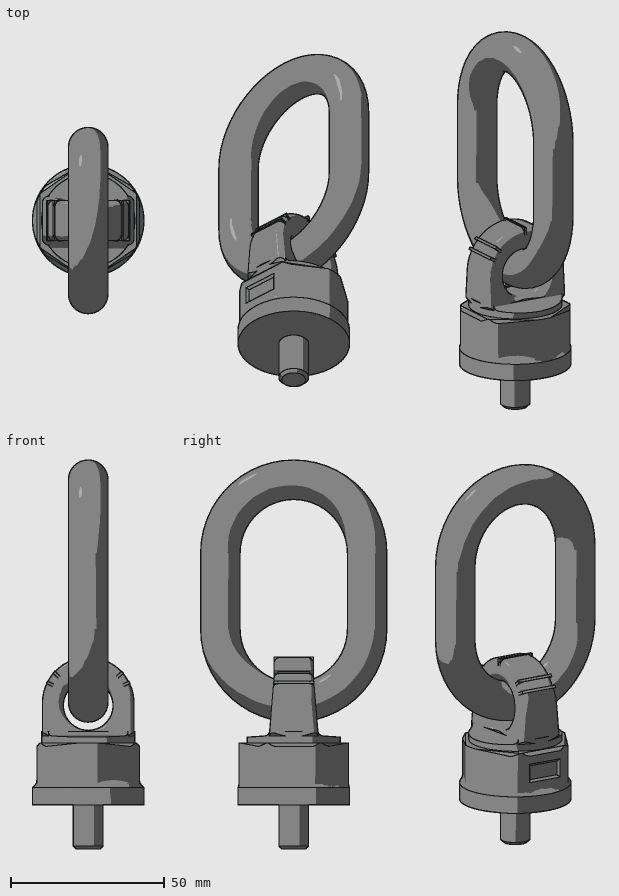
import cadquery as cq
import math


BAR_DIAMETER = 13.0
RING_WIDTH = 61.0
RING_STRAIGHT = 24.8
RING_TOP = 112.7

FLANGE_RADIUS = 36.5 / 2
FLANGE_HEIGHT = 5.6
HEX_FLAT_DISTANCE = 16.8
HEX_CORNER_RADIUS = 18.0
HEX_TOP = 20.2
HEX_TURN = math.radians(30)
HEX_EDGE_FILLET = 2.5
HEX_FOOT_FILLET = 2.3
SHOULDER_TAPER = 45
SHOULDER_OVERRUN = 0.6
BEVEL_DEPTH = 1.1
BEVEL_WIDTH = 1.0
STUD_DIAMETER = 9.8
STUD_LENGTH = 14.5
STUD_CHAMFER = 1.0
WINDOW_WIDTH = 12.2
WINDOW_HEIGHT = 6.2
WINDOW_CENTRE_HEIGHT = 13.2
WINDOW_DEPTH = 0.8
WINDOW_WALL_TAPER = 45

PLATE_RADIUS = 15.3
PLATE_TOP = 22.5
PLATE_SLOPE_DROP = 0.4
ARCH_RADIUS = 15.0
ARCH_CENTRE_HEIGHT = 33.2
ARCH_TOP = ARCH_CENTRE_HEIGHT + ARCH_RADIUS
ARCH_EDGE_FILLET = 2.2
EYE_TOP_THICKNESS = 13.0
EYE_FOOT_THICKNESS = 15.4
EYE_TAPER_TOP = 40.8
EYE_TAPER_BOTTOM = 26.6
EYE_BEND_RADIUS = 3.8
EYE_FOOT_FILLET = 1.5
BORE_RADIUS = 16.2 / 2
BORE_CENTRE_HEIGHT = 32.5
BORE_RIM_FILLET = 2.7
RIB_ANGLES = (-63, -48, 0, 48, 63)
RIB_WIDTH = 0.9
RIB_HEIGHT = 0.1

MARGIN = 12.7
SELECTION_GAP = 0.06


def make_ring():
    """Round bar swept round an oval path."""
    bar_radius = BAR_DIAMETER / 2
    bend_radius = RING_WIDTH / 2 - bar_radius
    upper_centre = RING_TOP - RING_WIDTH / 2
    lower_centre = upper_centre - RING_STRAIGHT
    path = (
        cq.Workplane("YZ")
        .moveTo(bend_radius, lower_centre)
        .lineTo(bend_radius, upper_centre)
        .threePointArc((0, upper_centre + bend_radius), (-bend_radius, upper_centre))
        .lineTo(-bend_radius, lower_centre)
        .threePointArc((0, lower_centre - bend_radius), (bend_radius, lower_centre))
        .close()
    )
    return (
        cq.Workplane("XY", origin=(0, bend_radius, lower_centre))
        .circle(bar_radius)
        .sweep(path)
    )


def half_space(point, x_direction, normal):
    """Large block lying on the positive side of a plane."""
    size = 4 * FLANGE_RADIUS
    plane = cq.Plane(origin=point, xDir=x_direction, normal=normal)
    return cq.Workplane(plane).rect(size, size).extrude(size)


def make_hex_bevels():
    """Cutters for the top edge: even along the X flats, running out along the other four."""
    half_corner_angle = HEX_TURN - math.acos(HEX_FLAT_DISTANCE / HEX_CORNER_RADIUS)
    cutters = []
    for side in (1, -1):
        cutters.append(
            half_space(
                (side * HEX_FLAT_DISTANCE, 0, HEX_TOP - BEVEL_DEPTH),
                (0, 1, 0),
                (side * BEVEL_DEPTH, 0, BEVEL_WIDTH),
            )
        )
    faded = cq.Vector(
        HEX_CORNER_RADIUS * math.sin(half_corner_angle),
        HEX_CORNER_RADIUS * math.cos(half_corner_angle),
        HEX_TOP,
    )
    full_angle = 2 * HEX_TURN - half_corner_angle
    full = cq.Vector(
        HEX_CORNER_RADIUS * math.sin(full_angle),
        HEX_CORNER_RADIUS * math.cos(full_angle),
        HEX_TOP - BEVEL_DEPTH,
    )
    outward = cq.Vector(math.sin(HEX_TURN), math.cos(HEX_TURN), 0)
    inner = full - outward * BEVEL_WIDTH + cq.Vector(0, 0, BEVEL_DEPTH)
    along = full - faded
    quadrant = half_space(faded, along, (inner - faded).cross(along))
    half = [quadrant, quadrant.mirror("YZ")]
    cutters += half
    for cutter in half:
        cutters.append(cutter.mirror("XZ"))
    return cutters


def make_hex_drive():
    """Hexagon with flats facing +X and -X, rounded corners and a bevelled top edge."""
    corner_diameter = 2 * HEX_FLAT_DISTANCE / math.cos(HEX_TURN)
    drive = (
        cq.Workplane("XY")
        .polygon(6, corner_diameter)
        .extrude(HEX_TOP)
        .rotate((0, 0, 0), (0, 0, 1), math.degrees(HEX_TURN))
        .intersect(cq.Workplane("XY").circle(HEX_CORNER_RADIUS).extrude(HEX_TOP))
        .edges("|Z")
        .fillet(HEX_EDGE_FILLET)
    )
    for cutter in make_hex_bevels():
        drive = drive.cut(cutter)
    return drive


def make_flange():
    """Flange disc with a conical shoulder running up inside the hex flats."""
    shoulder = FLANGE_RADIUS - HEX_FLAT_DISTANCE + SHOULDER_OVERRUN
    return (
        cq.Workplane("XY")
        .circle(FLANGE_RADIUS)
        .extrude(FLANGE_HEIGHT)
        .faces(">Z")
        .workplane()
        .circle(FLANGE_RADIUS)
        .extrude(shoulder, taper=SHOULDER_TAPER)
    )


def make_stud():
    """Plain shank below the flange with a chamfered tip."""
    return (
        cq.Workplane("XY")
        .circle(STUD_DIAMETER / 2)
        .extrude(-STUD_LENGTH)
        .faces("<Z")
        .chamfer(STUD_CHAMFER)
    )


def make_window():
    """Shallow name-plate recess in the -X flat, with sloping walls."""
    return (
        cq.Workplane("YZ", origin=(-HEX_FLAT_DISTANCE, 0, WINDOW_CENTRE_HEIGHT))
        .rect(WINDOW_WIDTH, WINDOW_HEIGHT)
        .extrude(WINDOW_DEPTH, taper=WINDOW_WALL_TAPER)
    )


def make_housing():
    """Hex drive, flange and stud as one piece."""
    shoulder_edges = cq.selectors.BoxSelector(
        (-FLANGE_RADIUS, -FLANGE_RADIUS, FLANGE_HEIGHT + SELECTION_GAP),
        (FLANGE_RADIUS, FLANGE_RADIUS, FLANGE_HEIGHT + FLANGE_RADIUS - HEX_FLAT_DISTANCE),
    )
    return (
        make_hex_drive()
        .union(make_flange())
        .edges(shoulder_edges)
        .fillet(HEX_FOOT_FILLET)
        .union(make_stud())
        .cut(make_window())
    )


EYE_SLOPE = math.atan2(
    (EYE_FOOT_THICKNESS - EYE_TOP_THICKNESS) / 2, EYE_TAPER_TOP - EYE_TAPER_BOTTOM
)


def eye_side(height):
    """Y of the sloping side face at a given height."""
    return EYE_TOP_THICKNESS / 2 + (EYE_TAPER_TOP - height) * math.tan(EYE_SLOPE)


def make_arch():
    """Front outline of the eye, extruded along Y."""
    return (
        cq.Workplane("XZ")
        .moveTo(-ARCH_RADIUS, HEX_TOP)
        .lineTo(-ARCH_RADIUS, ARCH_CENTRE_HEIGHT)
        .threePointArc((0, ARCH_TOP), (ARCH_RADIUS, ARCH_CENTRE_HEIGHT))
        .lineTo(ARCH_RADIUS, HEX_TOP)
        .close()
        .extrude(MARGIN, both=True)
    )


def make_eye_sides():
    """Side outline of the eye, extruded along X: parallel at the top, flaring below."""
    rib_top = ARCH_TOP + RIB_HEIGHT
    half_top = EYE_TOP_THICKNESS / 2
    blend_length = EYE_BEND_RADIUS * math.tan(EYE_SLOPE / 2)
    blend_end_height = EYE_TAPER_TOP - blend_length * math.cos(EYE_SLOPE)
    return (
        cq.Workplane("YZ")
        .moveTo(0, rib_top)
        .lineTo(half_top, rib_top)
        .lineTo(half_top, EYE_TAPER_TOP + blend_length)
        .tangentArcPoint((eye_side(blend_end_height), blend_end_height), relative=False)
        .lineTo(eye_side(HEX_TOP), HEX_TOP)
        .lineTo(0, HEX_TOP)
        .mirrorY()
        .extrude(PLATE_RADIUS, both=True)
    )


def make_foot_envelope():
    """Cylinder of the plate, opening as a 45 degree cone above it, that trims the feet of the eye."""
    cone_rise = ARCH_TOP - PLATE_TOP
    return (
        cq.Workplane("XZ")
        .moveTo(0, HEX_TOP)
        .lineTo(PLATE_RADIUS, HEX_TOP)
        .lineTo(PLATE_RADIUS, PLATE_TOP)
        .lineTo(PLATE_RADIUS + cone_rise, ARCH_TOP)
        .lineTo(0, ARCH_TOP)
        .close()
        .revolve(360, (0, 0, 0), (0, 1, 0))
    )


def make_eye():
    """Rounded upright with a round-edged bore along Y."""
    bore = (
        cq.Workplane("XZ", origin=(0, 0, BORE_CENTRE_HEIGHT))
        .circle(BORE_RADIUS)
        .extrude(MARGIN, both=True)
    )
    rims = cq.selectors.BoxSelector(
        (-1.3, -MARGIN, BORE_CENTRE_HEIGHT - BORE_RIM_FILLET),
        (1.3, MARGIN, BORE_CENTRE_HEIGHT + BORE_RIM_FILLET),
    )
    return (
        make_arch()
        .intersect(make_eye_sides())
        .edges("not (|X or |Y)")
        .fillet(ARCH_EDGE_FILLET)
        .cut(bore)
        .edges(rims)
        .fillet(BORE_RIM_FILLET)
        .intersect(make_foot_envelope())
    )


def make_plate():
    """Round plate whose top falls slightly towards +Y and -Y and curves up into the eye."""
    side = eye_side(PLATE_TOP)
    fillet_height = PLATE_TOP + EYE_FOOT_FILLET * math.cos(EYE_SLOPE)
    profile = (
        cq.Workplane("YZ")
        .moveTo(0, HEX_TOP)
        .lineTo(PLATE_RADIUS, HEX_TOP)
        .lineTo(PLATE_RADIUS, PLATE_TOP - PLATE_SLOPE_DROP)
        .lineTo(side + EYE_FOOT_FILLET, PLATE_TOP)
        .tangentArcPoint((eye_side(fillet_height), fillet_height), relative=False)
        .lineTo(0, fillet_height)
        .mirrorY()
        .extrude(PLATE_RADIUS, both=True)
    )
    disc = (
        cq.Workplane("XY", origin=(0, 0, HEX_TOP))
        .circle(PLATE_RADIUS)
        .extrude(MARGIN)
    )
    return profile.intersect(disc)


def make_rib(angle):
    """Narrow square-ended rib across the arch, rooted below the rounded edges."""
    root_radius = ARCH_RADIUS - ARCH_EDGE_FILLET
    rib_length = ARCH_EDGE_FILLET + RIB_HEIGHT
    return (
        cq.Workplane("XY", origin=(0, 0, ARCH_CENTRE_HEIGHT + root_radius))
        .rect(RIB_WIDTH, 2 * EYE_TOP_THICKNESS)
        .extrude(rib_length)
        .rotate((0, 0, ARCH_CENTRE_HEIGHT), (0, 1, ARCH_CENTRE_HEIGHT), angle)
        .intersect(make_eye_sides())
    )


def make_lug():
    """Eye, plate and marking ribs as one piece, standing on the housing."""
    lug = make_eye().union(make_plate())
    for angle in RIB_ANGLES:
        lug = lug.union(make_rib(angle))
    return lug


ring = make_ring()
housing = make_housing()
lug = make_lug()

result = cq.Compound.makeCompound([ring.val(), housing.solids().val(), lug.solids().val()])